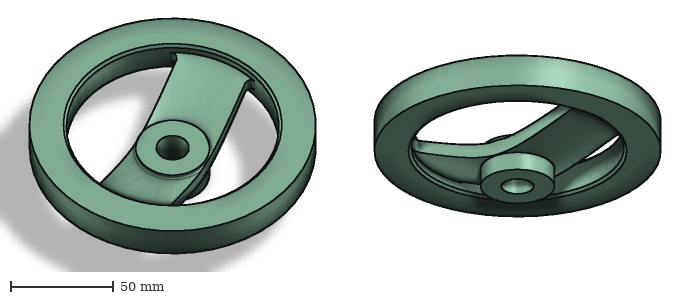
import cadquery as cq

rim_radius = 70.0
rim_height = 16.5
rim_inner_radius = 52.0
rim_chamfer = 1.4

hub_radius = 18.0
hub_top = -0.3
hub_bottom = -19.5
bore_diameter = 15.8
hub_fillet = 0.8

spoke_width = 37.0
spoke_corner_fillet = 2.8
web_top_slope = 0.42
web_top_zero_radius = 24.4
web_bottom_slope = 0.45
web_bottom_zero_radius = 40.5


def web_top(radius):
    return web_top_slope * (radius - web_top_zero_radius)


def web_bottom(radius):
    return web_bottom_slope * (radius - web_bottom_zero_radius)


def revolve_profile(points):
    """Turn a closed (radius, Z) outline about the Z axis."""
    return cq.Workplane("XZ").polyline(points).close().revolve(360, (0, 0), (0, 1))


def make_rim():
    rim = cq.Workplane("XY").circle(rim_radius).circle(rim_inner_radius).extrude(rim_height)
    inner_edges = cq.selectors.RadiusNthSelector(0)
    return rim.edges("%CIRCLE").edges(inner_edges).chamfer(rim_chamfer)


def make_dished_body():
    """Hub and full conical web, with the hub blended into the upper cone."""
    web_radius = rim_inner_radius
    body = revolve_profile([
        (0, hub_bottom),
        (hub_radius, hub_bottom),
        (hub_radius, web_bottom(hub_radius)),
        (web_radius, web_bottom(web_radius)),
        (web_radius, web_top(web_radius)),
        (hub_radius, web_top(hub_radius)),
        (hub_radius, hub_top),
        (0, hub_top),
    ])
    root = cq.selectors.NearestToPointSelector((0, 0, web_top(hub_radius)))
    return body.edges("%CIRCLE").edges(root).fillet(hub_fillet)


def make_windows():
    """The two openings between the spokes, with rounded corners."""
    cut_height = rim_height - hub_bottom
    disc = cq.Workplane("XY").workplane(offset=hub_bottom).circle(rim_inner_radius).extrude(cut_height)
    spoke_strip = cq.Workplane("XY").box(spoke_width, 2 * rim_radius, 2 * cut_height)
    return disc.cut(spoke_strip).edges("|Z and (>Y or <Y)").fillet(spoke_corner_fillet)


bore = cq.Workplane("XY").workplane(offset=hub_bottom).circle(bore_diameter / 2).extrude(hub_top - hub_bottom)

spokes_and_hub = make_dished_body().cut(make_windows()).cut(bore)
result = make_rim().union(spokes_and_hub)